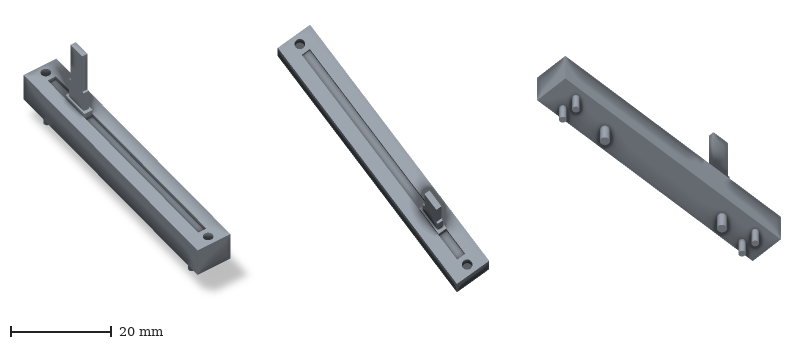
import cadquery as cq

HOUSING_LENGTH = 60.0
HOUSING_WIDTH = 8.0
HOUSING_HEIGHT = 6.9

SLOT_LENGTH = 52.0
SLOT_WIDTH = 2.0
SLOT_DEPTH = 1.0

HOLE_DIAMETER = 2.1
HOLE_X = 28.0
HOLE_DEPTH = 3.0

PIN_LENGTH = 3.6
TERMINAL_DIAMETER = 1.5
TERMINAL_X = 24.95
TERMINAL_Y = 1.85
LUG_DIAMETER = 2.0
LUG_LEFT_X = -17.5
LUG_RIGHT_X = 15.05

LEVER_X = -16.55
LEVER_HEIGHT = 16.0
COLLAR_LENGTH = 6.5
COLLAR_RISE = 1.0
BLADE_THICKNESS = 1.25
BLADE_BASE_LENGTH = 5.0
BLADE_STEP_HEIGHT = 6.0
BLADE_TIP_LENGTH = 4.0


def box_between(length, width, bottom, top, center_x=0.0):
    """Box centred on Y that spans Z from bottom to top."""
    return (
        cq.Workplane("XY", origin=(center_x, 0, bottom))
        .rect(length, width)
        .extrude(top - bottom)
    )


def pins(points, diameter):
    """Round pins hanging from the housing bottom."""
    return cq.Workplane("XY").pushPoints(points).circle(diameter / 2).extrude(-PIN_LENGTH)


def make_housing():
    """Block with a guide slot, blind mounting holes and pins."""
    block = box_between(HOUSING_LENGTH, HOUSING_WIDTH, 0, HOUSING_HEIGHT)
    slot = box_between(SLOT_LENGTH, SLOT_WIDTH, HOUSING_HEIGHT - SLOT_DEPTH, HOUSING_HEIGHT)
    holes = (
        cq.Workplane("XY", origin=(0, 0, HOUSING_HEIGHT))
        .pushPoints([(-HOLE_X, 0), (HOLE_X, 0)])
        .circle(HOLE_DIAMETER / 2)
        .extrude(-HOLE_DEPTH)
    )
    terminal_points = [
        (x, y)
        for x in (-TERMINAL_X, TERMINAL_X)
        for y in (-TERMINAL_Y, TERMINAL_Y)
    ]
    terminals = pins(terminal_points, TERMINAL_DIAMETER)
    lugs = pins([(LUG_LEFT_X, 0), (LUG_RIGHT_X, 0)], LUG_DIAMETER)
    return block.cut(slot).cut(holes).union(terminals).union(lugs)


def make_lever():
    """Collar standing on the slot floor, with the blade on top of it."""
    collar_top = HOUSING_HEIGHT + COLLAR_RISE
    step_top = HOUSING_HEIGHT + BLADE_STEP_HEIGHT
    lever_top = HOUSING_HEIGHT + LEVER_HEIGHT
    collar = box_between(COLLAR_LENGTH, SLOT_WIDTH, HOUSING_HEIGHT - SLOT_DEPTH, collar_top, LEVER_X)
    blade_base = box_between(BLADE_BASE_LENGTH, BLADE_THICKNESS, collar_top, step_top, LEVER_X)
    blade_tip = box_between(BLADE_TIP_LENGTH, BLADE_THICKNESS, step_top, lever_top, LEVER_X)
    return collar.union(blade_base).union(blade_tip)


housing = make_housing()
lever = make_lever()

result = cq.Compound.makeCompound([housing.val(), lever.val()])